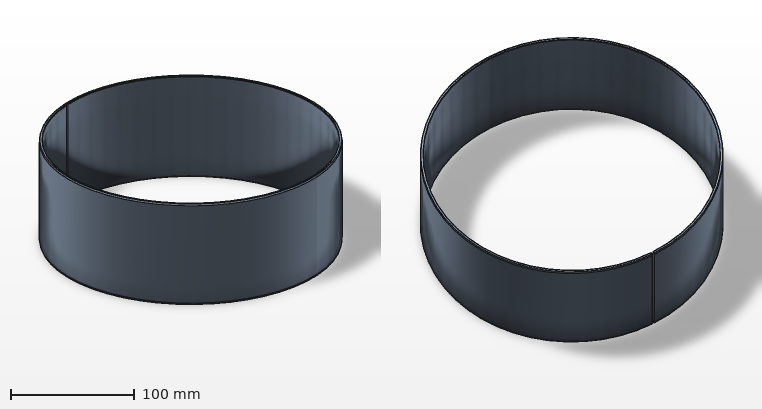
import cadquery as cq

outer_diameter = 245.0
height = 90.0
wall = 2.5

outer_bevel_height = 1.5
outer_bevel_depth = 0.5
inner_bevel_height = 0.7
inner_bevel_depth = 0.2

slit_width = 2.0

outer_radius = outer_diameter / 2


def make_ring():
    """Revolve the wall section, with its four corners bevelled."""
    inner_radius = outer_radius - wall
    rim_outer_radius = outer_radius - outer_bevel_depth
    rim_inner_radius = inner_radius + inner_bevel_depth
    section = [
        (inner_radius, inner_bevel_height),
        (rim_inner_radius, 0),
        (rim_outer_radius, 0),
        (outer_radius, outer_bevel_height),
        (outer_radius, height - outer_bevel_height),
        (rim_outer_radius, height),
        (rim_inner_radius, height),
        (inner_radius, height - inner_bevel_height),
    ]
    return cq.Workplane("XZ").polyline(section).close().revolve(360, (0, 0), (0, 1))


def make_slit():
    """Full-height cutter reaching from the axis past the -X side."""
    cutter = cq.Workplane("XY").box(outer_diameter, slit_width, height, centered=(True, False, False))
    return cutter.translate((-outer_radius, 0, 0))


result = make_ring().cut(make_slit())